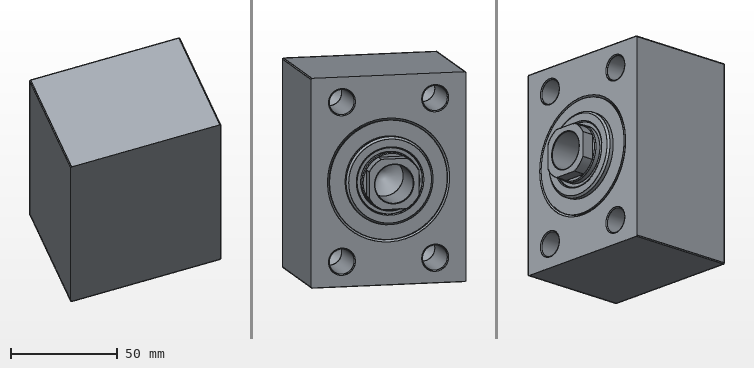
import cadquery as cq
import math

BLOCK_LENGTH = 56.0
BLOCK_WIDTH = 75.0
BLOCK_HEIGHT = 100.0
EDGE_CHAMFER = 0.5

BOLT_SPACING_Y = 45.0
BOLT_SPACING_Z = 76.0
BOLT_HOLE_RADIUS = 6.0
BOLT_HOLE_CHAMFER = 0.5
BOLT_HOLE_DEPTH = 25.0
DRILL_POINT_ANGLE = 118.0

GLAND_RADIUS = 28.5
GLAND_DEPTH = 20.0
SEAT_CHAMFER = 1.0
COLLAR_RADIUS = 21.0
COLLAR_HEIGHT = 3.0
COLLAR_CHAMFER = 1.0

RECESS_RADIUS = 15.8
RECESS_DEPTH = 1.0
RECESS_CHAMFER = 0.5

ROD_RADIUS = 14.0
ROD_CHAMFER = 0.5
ROD_REACH = 2.0
WRENCH_LENGTH = 6.0
WRENCH_FLATS = 24.0
WRENCH_CORNER_RADIUS = ROD_RADIUS - ROD_CHAMFER
ROD_HOLE_RADIUS = 9.25
ROD_HOLE_CHAMFER = 0.25
ROD_HOLE_DEPTH = 20.0

gland_face = 0
collar_face = -COLLAR_HEIGHT
rod_shoulder = collar_face - ROD_REACH
rod_tip = rod_shoulder - WRENCH_LENGTH


def turned(profile):
    """Solid of revolution about the X axis from (x, radius) points."""
    return cq.Workplane("XY").polyline(profile).close().revolve(360, (0, 0, 0), (1, 0, 0))


def cylinder(start, end, radius):
    return cq.Workplane("YZ", origin=(start, 0, 0)).circle(radius).extrude(end - start)


def drilled_hole(start, depth, radius, chamfer):
    """Blind hole along +X with a chamfered mouth and a conical drill point."""
    point_length = radius / math.tan(math.radians(DRILL_POINT_ANGLE / 2))
    return turned(
        [
            (start, 0),
            (start, radius + chamfer),
            (start + chamfer, radius),
            (start + depth, radius),
            (start + depth + point_length, 0),
        ]
    )


def make_block():
    block = cq.Workplane("XY").box(BLOCK_LENGTH, BLOCK_WIDTH, BLOCK_HEIGHT, centered=(False, True, True))
    block = block.edges("|X").chamfer(EDGE_CHAMFER)

    seat = turned(
        [
            (0, 0),
            (0, GLAND_RADIUS + SEAT_CHAMFER),
            (SEAT_CHAMFER, GLAND_RADIUS),
            (GLAND_DEPTH, GLAND_RADIUS),
            (GLAND_DEPTH, 0),
        ]
    )
    block = block.cut(seat)

    bolt_hole = drilled_hole(0, BOLT_HOLE_DEPTH, BOLT_HOLE_RADIUS, BOLT_HOLE_CHAMFER)
    for side_y in (-1, 1):
        for side_z in (-1, 1):
            offset = (0, side_y * BOLT_SPACING_Y / 2, side_z * BOLT_SPACING_Z / 2)
            block = block.cut(bolt_hole.translate(offset))
    return block


def make_gland():
    return turned(
        [
            (GLAND_DEPTH, ROD_RADIUS),
            (GLAND_DEPTH, GLAND_RADIUS),
            (gland_face, GLAND_RADIUS),
            (gland_face, COLLAR_RADIUS),
            (collar_face + COLLAR_CHAMFER, COLLAR_RADIUS),
            (collar_face, COLLAR_RADIUS - COLLAR_CHAMFER),
            (collar_face, RECESS_RADIUS + RECESS_CHAMFER),
            (collar_face + RECESS_CHAMFER, RECESS_RADIUS),
            (collar_face + RECESS_DEPTH, RECESS_RADIUS),
            (collar_face + RECESS_DEPTH, ROD_RADIUS),
        ]
    )


def make_rod():
    shaft = cylinder(rod_shoulder, GLAND_DEPTH, ROD_RADIUS).faces("<X").chamfer(ROD_CHAMFER)

    square = (
        cq.Workplane("YZ", origin=(rod_tip, 0, 0))
        .rect(WRENCH_FLATS, WRENCH_FLATS)
        .extrude(WRENCH_LENGTH)
    )
    wrench_end = square.intersect(cylinder(rod_tip, rod_shoulder, WRENCH_CORNER_RADIUS))

    rod_hole = drilled_hole(rod_tip, ROD_HOLE_DEPTH, ROD_HOLE_RADIUS, ROD_HOLE_CHAMFER)
    return shaft.union(wrench_end).cut(rod_hole)


block = make_block()
gland = make_gland()
rod = make_rod()

result = cq.Compound.makeCompound([block.val(), gland.val(), rod.val()])